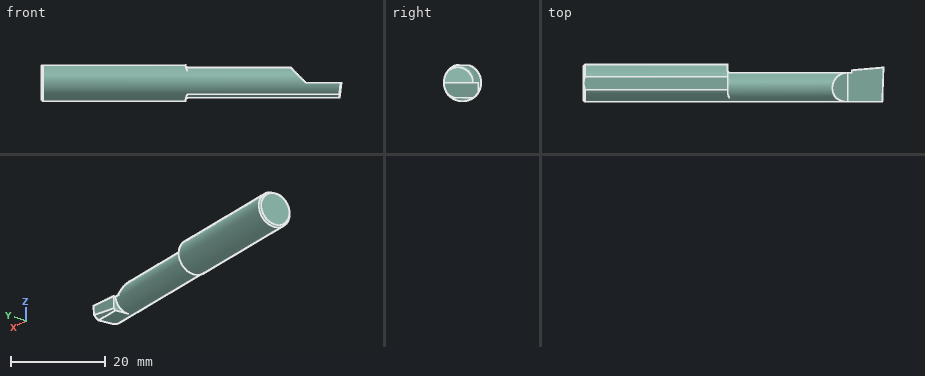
import cadquery as cq
import math

shank_diameter = 7.9375
shank_length = 30.5
rear_chamfer = 0.37
shank_flat_height = 3.71

neck_radius = 3.24
neck_offset_y = -1.02
shoulder_fillet = 0.5

overall_length = 63.5
rake_face_height = 0.0
rake_face_start = 55.9
ramp_angle = 45
head_start = 56.7
cutting_corner_y = 3.35
side_relief_angle = 5
end_relief_angle = 7
end_edge_angle = 2

shank_radius = shank_diameter / 2


def cylinder_along_x(radius, length):
    return cq.Workplane("YZ").circle(radius).extrude(length)


def make_shank():
    """Shank with a rear chamfer, still without its flat."""
    shank = cylinder_along_x(shank_radius, shank_length)
    return shank.faces("<X").chamfer(rear_chamfer)


def make_neck():
    """Neck cylinder that flares into the shoulder through a concave fillet."""
    flare_radius = neck_radius + shoulder_fillet
    flare_end = shank_length + shoulder_fillet
    arc_offset = shoulder_fillet * (1 - math.sqrt(0.5))
    return (
        cq.Workplane("XY")
        .moveTo(shank_length, 0)
        .lineTo(shank_length, flare_radius)
        .threePointArc(
            (shank_length + arc_offset, neck_radius + arc_offset),
            (flare_end, neck_radius),
        )
        .lineTo(overall_length, neck_radius)
        .lineTo(overall_length, 0)
        .close()
        .revolve(360, (0, 0, 0), (1, 0, 0))
        .translate((0, neck_offset_y, 0))
    )


def make_head():
    """Block that widens toward the cutting corner, flush with the neck's underside."""
    head_length = overall_length - head_start
    head_start_y = cutting_corner_y - head_length * math.tan(math.radians(side_relief_angle))
    return (
        cq.Workplane("XY")
        .workplane(offset=-neck_radius)
        .moveTo(head_start, neck_offset_y)
        .lineTo(overall_length, neck_offset_y)
        .lineTo(overall_length, cutting_corner_y)
        .lineTo(head_start, head_start_y)
        .close()
        .extrude(neck_radius + rake_face_height)
    )


def cut_shank_flat(body):
    """Mill the flat along the top of the shank only, stopping at the shoulder plane."""
    cutter = cq.Workplane("XY").box(
        shank_length, shank_diameter, shank_radius, centered=(False, True, False)
    )
    return body.cut(cutter.translate((0, 0, shank_flat_height)))


def cut_rake_face(body):
    """Remove the upper half at the tip, with a ramp leading down to the rake face."""
    rise = shank_diameter
    ramp_run = rise / math.tan(math.radians(ramp_angle))
    cutter = (
        cq.Workplane("XZ")
        .moveTo(rake_face_start, rake_face_height)
        .lineTo(overall_length, rake_face_height)
        .lineTo(overall_length, rake_face_height + rise)
        .lineTo(rake_face_start - ramp_run, rake_face_height + rise)
        .close()
        .extrude(shank_radius, both=True)
    )
    return body.cut(cutter)


def cut_end_relief(body):
    """Trim the end face so that it falls back below and beside the cutting corner."""
    cutter_span = 3 * shank_diameter
    cutter = (
        cq.Workplane("XY")
        .box(shank_diameter, cutter_span, cutter_span, centered=(False, True, True))
        .rotate((0, 0, 0), (0, 1, 0), end_relief_angle)
        .rotate((0, 0, 0), (0, 0, 1), -end_edge_angle)
        .translate((overall_length, cutting_corner_y, rake_face_height))
    )
    return body.cut(cutter)


shank_outline = cylinder_along_x(shank_radius, overall_length)
front = make_neck().union(make_head()).intersect(shank_outline)
result = make_shank().union(front)
result = cut_shank_flat(result)
result = cut_rake_face(result)
result = cut_end_relief(result)